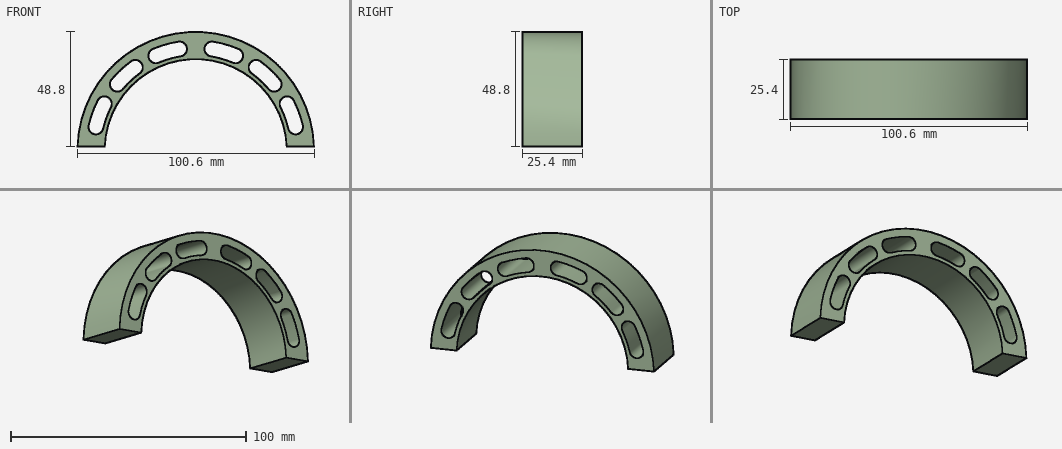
import cadquery as cq
import math

span = 100.6
height = 48.8
depth = 25.4
wall = 11.7

half_span = span / 2
foot_height = (half_span**2 - height**2) / (2 * height)
outer_radius = height + foot_height
inner_radius = outer_radius - wall

slot_radius = 43.5
slot_width = 6.2
slot_arc = 13.8
first_slot_angle = 20.0
slot_pitch = 27.0
slots_per_side = 3


def polar(radius, angle):
    """Point on the XZ plane at an angle in degrees from +X."""
    return (radius * math.cos(math.radians(angle)), radius * math.sin(math.radians(angle)))


def make_arch():
    """Ring segment with flat feet, extruded along Y and centred on it."""
    inner_half_span = math.sqrt(inner_radius**2 - foot_height**2)
    return (
        cq.Workplane("XZ")
        .moveTo(-half_span, foot_height)
        .threePointArc((0, outer_radius), (half_span, foot_height))
        .lineTo(inner_half_span, foot_height)
        .threePointArc((0, inner_radius), (-inner_half_span, foot_height))
        .close()
        .extrude(depth / 2, both=True)
    )


def make_slot(middle_angle):
    """Curved slot with round ends, centred on the given angle."""
    start = middle_angle - slot_arc / 2
    end = middle_angle + slot_arc / 2
    end_radius = slot_width / 2
    outer = slot_radius + end_radius
    inner = slot_radius - end_radius

    def cap_tip(angle, direction):
        x, z = polar(slot_radius, angle)
        dx, dz = polar(end_radius, angle + direction * 90)
        return (x + dx, z + dz)

    return (
        cq.Workplane("XZ")
        .moveTo(*polar(outer, start))
        .threePointArc(polar(outer, middle_angle), polar(outer, end))
        .threePointArc(cap_tip(end, 1), polar(inner, end))
        .threePointArc(polar(inner, middle_angle), polar(inner, start))
        .threePointArc(cap_tip(start, -1), polar(outer, start))
        .close()
        .extrude(depth, both=True)
    )


result = make_arch()
for index in range(slots_per_side):
    angle = first_slot_angle + index * slot_pitch
    result = result.cut(make_slot(angle)).cut(make_slot(180 - angle))